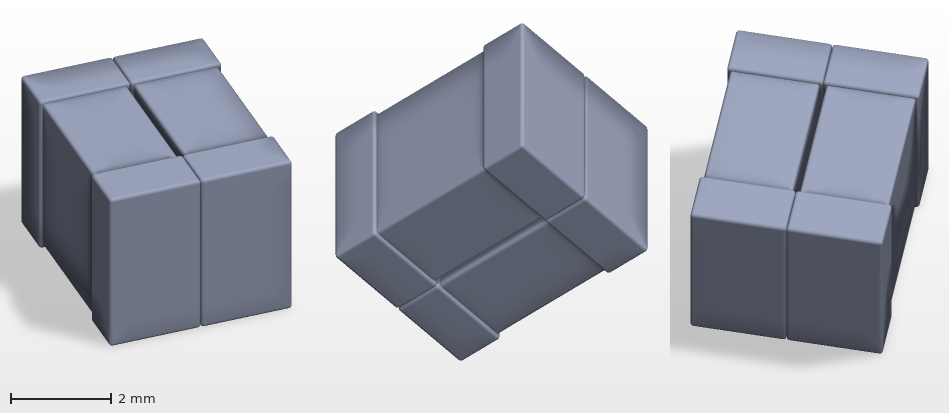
import cadquery as cq


total_length = 4.9
total_depth = 3.9
total_height = 3.5
terminal_length = 1.05
edge_radius = 0.07
step = edge_radius

chip_count = 2
chip_depth = total_depth / chip_count
chip_centers_y = [(i - (chip_count - 1) / 2) * chip_depth for i in range(chip_count)]
ceramic_length = total_length - 2 * terminal_length
ceramic_depth = chip_depth - 2 * step
ceramic_height = total_height - 2 * step
terminal_center_x = (total_length - terminal_length) / 2


def make_ceramic(center_y):
    """Ceramic block between the terminals, rounded along its long edges."""
    block = cq.Workplane("XY").box(ceramic_length, ceramic_depth, ceramic_height)
    return block.edges("|X").fillet(edge_radius).translate((0, center_y, 0))


def make_end_cap(center_x, center_y):
    """One chip's share of a terminal, rounded on every edge."""
    cap = cq.Workplane("XY").box(terminal_length, chip_depth, total_height)
    return cap.edges().fillet(edge_radius).translate((center_x, center_y, 0))


def make_terminal(center_x):
    """End caps joined on their flat sides, with a rounded groove around the joint."""
    terminal = make_end_cap(center_x, chip_centers_y[0])
    for center_y in chip_centers_y[1:]:
        terminal = terminal.union(make_end_cap(center_x, center_y))
    return terminal


ceramics = [make_ceramic(center_y) for center_y in chip_centers_y]
terminals = [make_terminal(side * terminal_center_x) for side in (-1, 1)]

result = cq.Compound.makeCompound([body.solids().val() for body in ceramics + terminals])